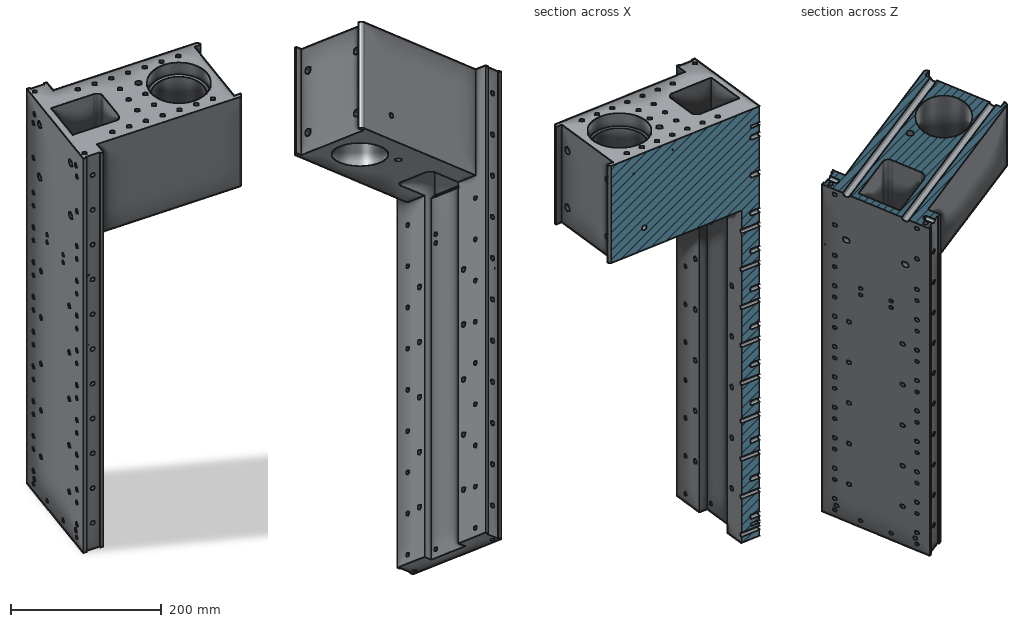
import cadquery as cq
import math


top_face = cq.Workplane("XY")
front_face = cq.Workplane("XZ")

plate_length = 680.0
plate_width = 164.0
plate_thickness = 30.0
edge_lip = 5.0
edge_groove_depth = 2.0

overall_depth = 247.5
box_width = 126.5
box_height = 154.5
box_back = 238.0
tab_inner_half_width = 57.0
tab_corner_radius = 5.0

window_width = 62.5
window_front = 10.0
window_back = 83.0
window_corner_radius = 9.0
relief_floor = 17.0

grid_columns = 5
grid_rows = 7
grid_width = 100.0
grid_length = 150.0
grid_pitch_x = grid_width / (grid_columns - 1)
grid_pitch_y = grid_length / (grid_rows - 1)
grid_first_row = 60.0
full_rows = (2, 3)
bore_row = 5

bore_diameter = 75.0
counterbore_diameter = 85.0
counterbore_depth = 20.5
drain_diameter = 9.0
drain_x = -24.5
drain_y = 137.5
port_diameter = 7.0
port_y = 190.5
port_z = -119.0

tapped_diameter = 6.4
tapped_depth = 13.5
drill_point_angle = 118
drill_point_length = tapped_diameter / 2 / math.tan(math.radians(drill_point_angle / 2))

end_margin_long = 45.0
end_margin_short = 35.5
rail_hole_count = 11
rail_pitch = (plate_length - end_margin_long - end_margin_short) / (rail_hole_count - 1)
rail_x = 62.5

cover_hole_count = 9
cover_end_margin = 13.0
cover_diameter = 5.6
inner_pair_x = 23.0
inner_pair_depths = (209.0, 222.0)

corner_x = 60.0
corner_top_margin = 28.0
corner_bottom_margin = 23.0

bolt_x = 45.0
bolt_depths = (35.0, 125.0)
bolt_diameter = 10.0

bracket_hole_count = 5
bracket_span = 320.0
bracket_pitch = bracket_span / (bracket_hole_count - 1)
bracket_x = 41.0
bracket_bottom_margin = 75.5
bracket_diameter = 7.0

channel_x = 72.0
channel_y = 7.0
channel_diameter = 5.6


def block(x_size, y_start, y_end, height):
    """Box centred on X between two Y limits, hanging down from the top face."""
    size = (x_size, y_end - y_start, height)
    return cq.Workplane("XY").box(*size, centered=(True, False, False)).translate((0, y_start, -height))


def cylinders(face, points, diameter, depth):
    """Cylinders entering the part from a workplane whose normal points outward."""
    return face.pushPoints(points).circle(diameter / 2).extrude(-depth)


def tapped_holes(face, points):
    """Blind cylindrical holes with conical bottoms."""
    inward = face.plane.zDir * -1
    holes = cylinders(face, points, tapped_diameter, tapped_depth)
    for point in points:
        tip_start = face.plane.toWorldCoords(point) + inward * tapped_depth
        tip = cq.Solid.makeCone(tapped_diameter / 2, 0, drill_point_length, tip_start, inward)
        holes = holes.union(cq.Workplane(tip))
    return holes


def mirrored(x, z_values):
    """Left and right copies of a column of holes."""
    return [(side * x, z) for side in (-1, 1) for z in z_values]


def make_plate():
    half = plate_width / 2
    floor = half - edge_groove_depth
    right_edge = [
        (half, 0),
        (half, edge_lip),
        (floor, edge_lip),
        (floor, plate_thickness - edge_lip),
        (half, plate_thickness - edge_lip),
        (half, plate_thickness),
    ]
    left_edge = [(-x, y) for x, y in reversed(right_edge)]
    return cq.Workplane("XY").polyline(right_edge + left_edge).close().extrude(-plate_length)


def make_box():
    half = box_width / 2
    right_edge = [
        (half, plate_thickness),
        (half, overall_depth),
        (tab_inner_half_width, overall_depth),
        (tab_inner_half_width, box_back),
    ]
    left_edge = [(-x, y) for x, y in reversed(right_edge)]
    box = cq.Workplane("XY").polyline(right_edge + left_edge).close().extrude(-box_height)
    outer_corners = cq.selectors.BoxSelector(
        (-box_width, overall_depth - tab_corner_radius, -box_height),
        (box_width, overall_depth + tab_corner_radius, 0),
    )
    tab_edges = box.edges("|Z").edges(outer_corners)
    return tab_edges.edges("<X or >X").fillet(tab_corner_radius)


def cut_window(body):
    window = block(window_width, relief_floor, window_back, box_height)
    window = window.edges("|Z and >Y").fillet(window_corner_radius)
    ramp_profile = [
        (relief_floor, 0),
        (window_front, 0),
        (window_front, -box_height + relief_floor - window_front),
        (relief_floor, -box_height),
    ]
    ramp = cq.Workplane("YZ").polyline(ramp_profile).close().extrude(window_width / 2, both=True)
    relief = block(window_width, relief_floor, plate_thickness, plate_length)
    return body.cut(window).cut(ramp).cut(relief)


def cut_box_holes(body):
    grid = []
    middle = grid_columns // 2
    for row in range(grid_rows):
        for column in range(-middle, middle + 1):
            taken_by_drain = row == max(full_rows) and column == -1
            if (abs(column) == middle or row in full_rows) and not taken_by_drain:
                grid.append((column * grid_pitch_x, grid_first_row + row * grid_pitch_y))
    bore_center = [(0, grid_first_row + bore_row * grid_pitch_y)]
    body = body.cut(tapped_holes(top_face, grid))
    body = body.cut(cylinders(top_face, bore_center, bore_diameter, box_height))
    body = body.cut(cylinders(top_face, bore_center, counterbore_diameter, counterbore_depth))
    body = body.cut(cylinders(top_face, [(drain_x, drain_y)], drain_diameter, box_height))
    port = cq.Workplane("YZ").center(port_y, port_z).circle(port_diameter / 2).extrude(-box_width / 2)
    return body.cut(port)


def cut_plate_holes(body):
    rail_z = [-end_margin_long - i * rail_pitch for i in range(rail_hole_count)]
    cover_z = [-plate_length + cover_end_margin + i * rail_pitch for i in range(cover_hole_count)]
    bracket_z = [-plate_length + bracket_bottom_margin + i * bracket_pitch for i in range(bracket_hole_count)]
    corner_z = [-corner_top_margin, -plate_length + corner_bottom_margin]
    bolt_z = [-depth for depth in bolt_depths]
    inner_z = [-depth for depth in inner_pair_depths] + [-plate_length + cover_end_margin]

    body = body.cut(tapped_holes(front_face, mirrored(rail_x, rail_z)))
    body = body.cut(tapped_holes(front_face, mirrored(corner_x, corner_z)))
    body = body.cut(cylinders(front_face, mirrored(rail_x, cover_z), cover_diameter, plate_thickness))
    body = body.cut(cylinders(front_face, mirrored(inner_pair_x, inner_z), cover_diameter, plate_thickness))
    body = body.cut(cylinders(front_face, mirrored(bracket_x, bracket_z), bracket_diameter, plate_thickness))
    return body.cut(cylinders(front_face, mirrored(bolt_x, bolt_z), bolt_diameter, overall_depth))


def cut_edge_holes(body):
    side_z = [-end_margin_short - i * rail_pitch for i in range(rail_hole_count)]
    points = [(plate_thickness / 2, z) for z in side_z]
    groove_floor = cq.Workplane("YZ").workplane(offset=plate_width / 2 - edge_groove_depth)
    right_holes = tapped_holes(groove_floor, points)
    body = body.cut(right_holes).cut(right_holes.mirror("YZ"))
    channels = [(-channel_x, channel_y), (channel_x, channel_y)]
    return body.cut(cylinders(top_face, channels, channel_diameter, plate_length))


result = make_plate().union(make_box())
result = cut_window(result)
result = cut_box_holes(result)
result = cut_plate_holes(result)
result = cut_edge_holes(result)